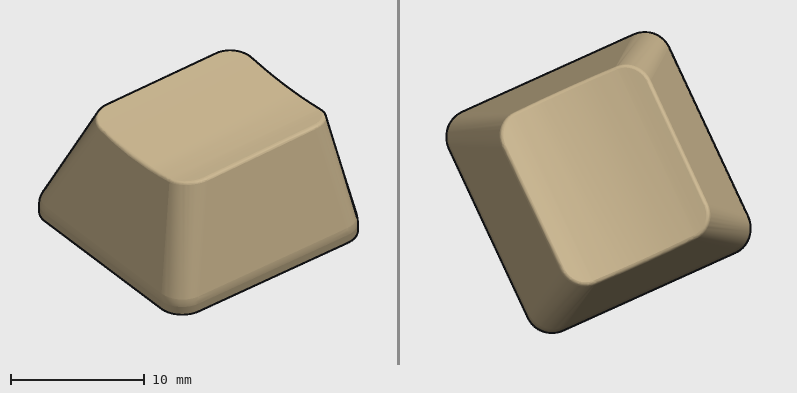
import cadquery as cq
import math

base_size = 18.16
corner_radius = 2.0
skirt_height = 0.73
shoulder_top = 1.3
body_height = 10.9
side_slope = 0.37
front_slope = 0.39
back_slope = 0.088
rim_radius = 0.29
dish_radius = 33.96
dish_floor = 8.73
dish_tilt = 0.8
dish_length = 2 * base_size


def wall_inset(slope, height):
    """Inward run of a wall at a height on or above the skirt: a tangent arc, then a straight lean."""
    lean = math.atan(slope)
    arc_radius = (shoulder_top - skirt_height) / math.sin(lean)
    arc_height = min(height, shoulder_top) - skirt_height
    arc_run = arc_radius - math.sqrt(arc_radius**2 - arc_height**2)
    return arc_run + max(height - shoulder_top, 0) * slope


def outline_at(height):
    """Rounded rectangle bounding the body at a height."""
    side = wall_inset(side_slope, height)
    front = wall_inset(front_slope, height)
    back = wall_inset(back_slope, height)
    return (
        cq.Sketch()
        .rect(base_size - 2 * side, base_size - front - back)
        .vertices()
        .fillet(corner_radius)
        .moved(cq.Location(cq.Vector(0, (front - back) / 2, height)))
    )


def make_body():
    """Upright skirt, curved shoulder and leaning walls stacked on each other."""
    shoulder_middle = (skirt_height + shoulder_top) / 2
    skirt = cq.Workplane("XY").placeSketch(outline_at(skirt_height)).extrude(-skirt_height)
    shoulder = (
        cq.Workplane("XY")
        .placeSketch(outline_at(skirt_height), outline_at(shoulder_middle), outline_at(shoulder_top))
        .loft()
    )
    walls = (
        cq.Workplane("XY")
        .placeSketch(outline_at(shoulder_top), outline_at(body_height))
        .loft(ruled=True)
    )
    return skirt.union(shoulder).union(walls)


def make_dish():
    """Large cylinder lying front to back that scoops the top."""
    return (
        cq.Workplane("XZ")
        .circle(dish_radius)
        .extrude(dish_length / 2, both=True)
        .rotate((0, 0, 0), (1, 0, 0), dish_tilt)
        .translate((0, 0, dish_floor + dish_radius / math.cos(math.radians(dish_tilt))))
    )


result = make_body().cut(make_dish())
result = result.faces(cq.selectors.NearestToPointSelector((0, 0, dish_floor))).edges().fillet(rim_radius)